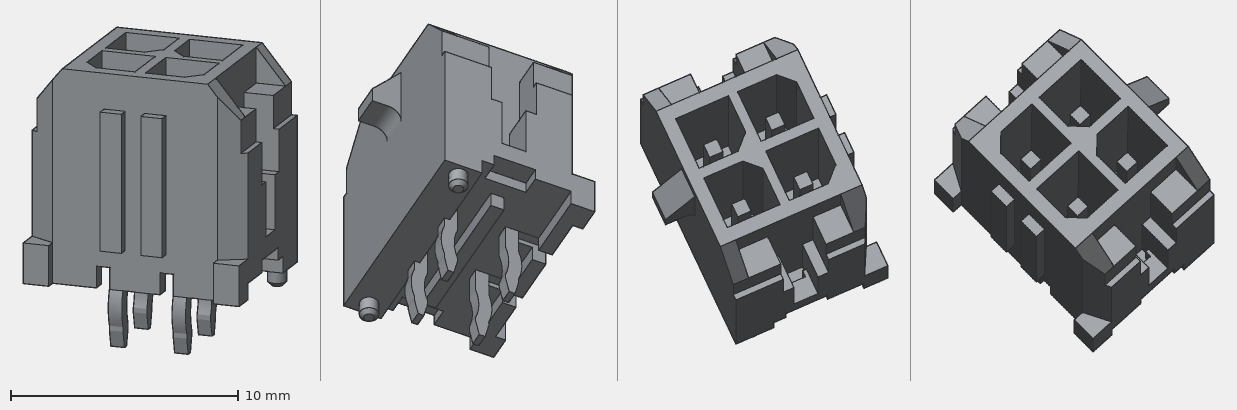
import cadquery as cq


width = 10.15
depth = 6.86
height = 9.91
overall_height = 13.09
half_width = width / 2
core_half_width = 3.42
mid_y = depth / 2
pin_mid_y = 3.47

wing_top = 8.26
wing_step_height = 6.74
wing_step = 0.27
web_front = 1.03
web_back = 0.75
wide_slot_width = 2.19
wide_slot_floor = 4.79
narrow_slot_width = 1.17
narrow_slot_floor = 2.26

bevel_width = 1.2
bevel_depth = 0.63
foot_height = 1.87
front_projection = 0.5

rib_inner_x = 0.46
rib_width = 1.0

latch_width = 1.4
latch_reach = 1.41
latch_top = 9.32
latch_tip_top = 7.71
latch_bottom = 6.96
latch_fillet = 0.64

standoff_height = 0.76
front_standoff = 0.67
back_standoff = 1.83
center_bar_width = 0.64
side_notch_width = 2.02
side_notch_top = 1.34

clip_throat_x = 3.84
clip_outer_x = 4.14
clip_width = 0.81

pitch = 3.0
cavity_size = 2.5
cavity_corner = 0.67
cavity_floor = narrow_slot_floor
cavity_draft = 0.05
cavity_mid_y = 3.42

pin_size = 0.64
pin_top = 7.46
pin_bottom = height - overall_height
bend_start = -0.5
bend_end = -2.2
bend_offset = 0.16
taper_start = -2.42
tip_size = 0.29
pin_groove_height = 1.01

peg_x = 4.48
peg_back_gap = 0.95
peg_diameter = 0.86
peg_length = 0.85
peg_chamfer = 0.2

SIDES = (-1, 1)


def box(x_range, y_range, z_range):
    """Box between two limits along each axis, given in either order."""
    limits = [sorted(pair) for pair in (x_range, y_range, z_range)]
    sizes = [high - low for low, high in limits]
    corner = tuple(low for low, high in limits)
    return cq.Workplane("XY").box(*sizes, centered=False).translate(corner)


def span(center, size):
    return (center - size / 2, center + size / 2)


def make_shell():
    """Housing outline in X and Z, run through the full depth."""
    shoulder = half_width - wing_step
    right_half = [
        (half_width, 0),
        (half_width, wing_step_height),
        (shoulder, wing_step_height),
        (shoulder, wing_top),
        (core_half_width, height),
    ]
    left_half = [(-x, z) for x, z in reversed(right_half)]
    return cq.Workplane("XZ").polyline(right_half + left_half).close().extrude(-depth)


def make_wing_cuts(side):
    """Space between the webs, stepped slot, corner bevel and clip pocket of one wing."""
    wing_x = (side * core_half_width, side * half_width)
    narrow_slot = span(pin_mid_y, narrow_slot_width)
    cuts = box(wing_x, (web_front, depth - web_back), (wing_top, height))
    cuts = cuts.union(box(wing_x, span(pin_mid_y, wide_slot_width), (wide_slot_floor, height)))
    cuts = cuts.union(box(wing_x, narrow_slot, (narrow_slot_floor, height)))

    bevel = (
        cq.Workplane("XY")
        .moveTo(side * (half_width - bevel_width), 0)
        .lineTo(side * half_width, 0)
        .lineTo(side * half_width, bevel_depth)
        .close()
        .extrude(height)
    )
    cuts = cuts.union(bevel)

    pocket_z = (side_notch_top, narrow_slot_floor)
    throat_x = (side * core_half_width, side * clip_throat_x)
    outer_x = (side * core_half_width, side * clip_outer_x)
    cuts = cuts.union(box(throat_x, narrow_slot, pocket_z))
    return cuts.union(box(outer_x, span(pin_mid_y, clip_width), pocket_z))


def make_foot(side):
    foot_x = (side * (half_width - bevel_width), side * half_width)
    return box(foot_x, (-front_projection, front_standoff), (0, foot_height))


def make_front_rib(side):
    rib_x = (side * rib_inner_x, side * (rib_inner_x + rib_width))
    return box(rib_x, (-front_projection, 0), (foot_height, wing_top))


def make_latch():
    """Ramped hook with a concave fillet where its underside meets the back wall."""
    tip_y = depth + latch_reach
    profile = (
        cq.Workplane("YZ")
        .moveTo(depth, latch_top)
        .lineTo(tip_y, latch_tip_top)
        .lineTo(tip_y, latch_bottom)
        .lineTo(depth + latch_fillet, latch_bottom)
        .radiusArc((depth, latch_bottom - latch_fillet), -latch_fillet)
        .close()
    )
    return profile.extrude(latch_width / 2, both=True)


def make_underside_cut():
    """Channel between the standoffs, leaving a center bar, plus a notch in each side wall."""
    full_x = (-half_width, half_width)
    channel = box(full_x, (front_standoff, depth - back_standoff), (0, standoff_height))
    bar_x = (-core_half_width, core_half_width)
    cut = channel.cut(box(bar_x, span(pin_mid_y, center_bar_width), (0, standoff_height)))
    for side in SIDES:
        notch_x = (side * clip_outer_x, side * half_width)
        notch_y = span(mid_y, side_notch_width)
        cut = cut.union(box(notch_x, notch_y, (standoff_height, side_notch_top)))
    return cut


def make_cavity(column, row):
    """Square cavity with one beveled corner on its front side and a drafted back wall."""
    half = cavity_size / 2
    center_x = column * pitch / 2
    center_y = cavity_mid_y + row * pitch / 2
    bevel_side = -column * row
    outline = [
        (-bevel_side * half, -half),
        (bevel_side * (half - cavity_corner), -half),
        (bevel_side * half, -half + cavity_corner),
        (bevel_side * half, half),
        (-bevel_side * half, half),
    ]
    cavity = cq.Workplane("XY").polyline(outline).close().extrude(height - cavity_floor)
    draft = (
        cq.Workplane("YZ")
        .moveTo(half, 0)
        .lineTo(half + cavity_draft, height - cavity_floor)
        .lineTo(half, height - cavity_floor)
        .close()
        .extrude(half, both=True)
    )
    return cavity.union(draft).translate((center_x, center_y, cavity_floor))


def make_pin(column, row):
    """Square pin whose tail bows away from the other row and ends in a taper."""
    half = pin_size / 2
    bow = row * bend_offset
    bend_mid = (bend_start + bend_end) / 2
    profile = (
        cq.Workplane("YZ")
        .moveTo(-half, pin_top)
        .lineTo(-half, bend_start)
        .threePointArc((-half + bow, bend_mid), (-half, bend_end))
        .lineTo(-half, taper_start)
        .lineTo(-tip_size / 2, pin_bottom)
        .lineTo(tip_size / 2, pin_bottom)
        .lineTo(half, taper_start)
        .lineTo(half, bend_end)
        .threePointArc((half + bow, bend_mid), (half, bend_start))
        .lineTo(half, pin_top)
        .close()
    )
    pin = profile.extrude(half, both=True)
    return pin.translate((column * pitch / 2, pin_mid_y + row * pitch / 2, 0))


def make_pin_groove(column):
    """Opening through the front standoff, as wide as a pin and reaching the front pin."""
    groove_y = (0, pin_mid_y - pitch / 2)
    return box(span(column * pitch / 2, pin_size), groove_y, (0, pin_groove_height))


def make_peg(side):
    peg = cq.Workplane("XY").circle(peg_diameter / 2).extrude(-peg_length)
    peg = peg.faces("<Z").chamfer(peg_chamfer)
    return peg.translate((side * peg_x, depth - peg_back_gap, 0))


result = make_shell().cut(make_underside_cut()).union(make_latch())

for side in SIDES:
    result = result.cut(make_wing_cuts(side))
    result = result.union(make_foot(side))
    result = result.union(make_front_rib(side))
    result = result.union(make_peg(side))

for column in SIDES:
    result = result.cut(make_pin_groove(column))
    for row in SIDES:
        result = result.cut(make_cavity(column, row))
        result = result.union(make_pin(column, row))